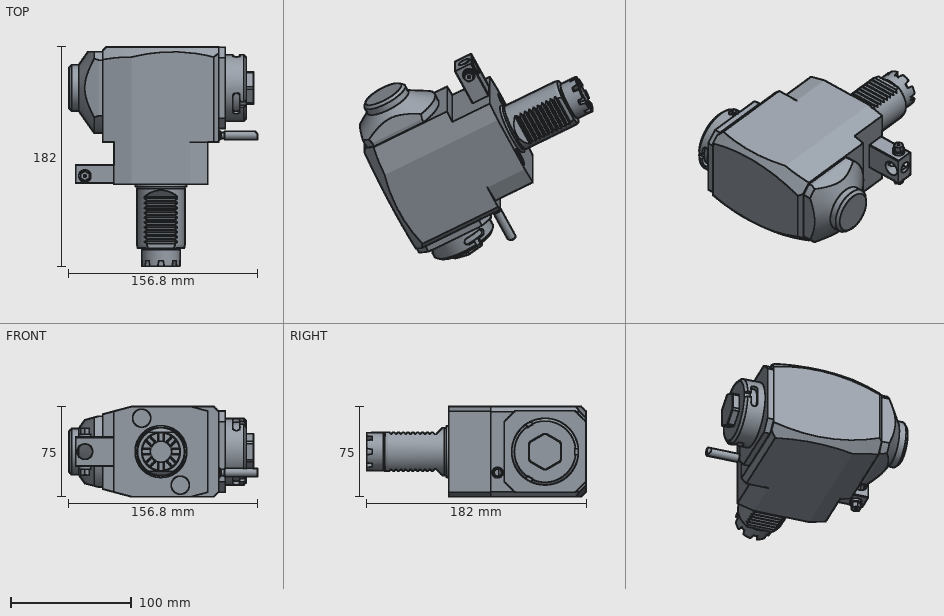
import math

import cadquery as cq


OVERALL_LENGTH = 156.83

HALF_HEIGHT = 37.5
HOUSING_DEPTH = 114.0
LEFT_X = -48.4
RIGHT_X = 48.0
STEP_Y = 35.0
NECK_HALF_WIDTH = 39.0
TAPER_START_X = 24.4
TAPER_SLOPE = math.tan(math.radians(15))
RIGHT_CHAMFER = 4.3
BACK_LEFT_CHAMFER = 3.0
CROWN_RADIUS = 190.0
CROWN_CENTER_X = 9.65
CROWN_CHAMFER = 4.05
PLUG_RADIUS = 7.5
PLUG_DEPTH = 1.0
PLUG_POSITIONS = ((-16.0, 27.8), (16.0, -27.8))

SPINDLE_Y = 80.0
BONNET_RADIUS = 37.5
BONNET_RIM_X = -55.4
BONNET_CONE_END_X = -68.2
BONNET_BACK_Y = 110.2
BONNET_HALF_HEIGHT = 29.5
BONNET_TAPER_X = -51.6
CAP_RADIUS = 19.3
CAP_END_X = -76.45
CAP_CHAMFER = 2.5

FLANGE_HALF = 33.75
FLANGE_CHAMFER = 8.75
FLANGE_END_X = 53.4
NUT_RADIUS = 27.7
NUT_END_X = 70.9
NUT_CHAMFER = 2.3
NUT_SLOT_X = 62.6
NUT_SLOT_WIDTH = 5.8
NUT_SLOT_DEPTH = 3.0
NUT_SLOT_HALF_ANGLE = 15.0
NUT_SLOT_ANGLES = (30, 150, 270)
NUT_CHANNEL_WIDTH = 5.0
HEX_FLATS = 27.0
HEX_TURN_RADIUS = 15.0
HEX_END_X = 77.0
HEX_CHAMFER = 0.5

PIN_Y = 40.6
PIN_Z = -17.4
PIN_RADIUS = 3.6
PIN_END_X = CAP_END_X + OVERALL_LENGTH
PIN_FLARE_RADIUS = 4.4
PIN_COLLAR_RADIUS = 3.1
PIN_NECK_RADIUS = 2.6
PIN_COLLAR_START_X = 49.2
PIN_NECK_START_X = 50.2
PIN_NECK_END_X = 52.3
PIN_BODY_START_X = 53.1
PIN_END_CHAMFER = 0.7
PIN_BEVEL = 2.6

SHANK_RADIUS = 20.0
SHANK_LENGTH = 52.8
SHANK_TIP_LENGTH = 2.7
SHANK_TIP_RADIUS = 19.4
COLLAR_RADIUS = 21.5
COLLAR_LENGTH = 2.0
RELIEF_END = 3.7
RELIEF_RADIUS = 19.8
SERRATION_TOP_Z = 16.2
SERRATION_DEPTH = 1.6
SERRATION_PITCH = 4.0
SERRATION_COUNT = 10
SERRATION_FIRST_Y = -11.6
SERRATION_RAMP_Y = -4.9

COUPLING_RADIUS = 16.0
COUPLING_START = 53.9
COUPLING_END = 68.0
COUPLING_NECK_RADIUS = 12.8
COUPLING_HUB_RADIUS = 8.8
COUPLING_SLOT_COUNT = 8
COUPLING_SLOT_DEPTH = 4.8
COUPLING_SLOT_FLOOR = 3.6
COUPLING_SLOT_MOUTH = 5.5
COUPLING_RIM_CHAMFER = 0.4

ARM_END_X = -70.8
ARM_FRONT_Y = 0.8
ARM_BACK_Y = 16.2
ARM_HALF_HEIGHT = 12.2
ARM_CHAMFER = 0.5
ARM_HOLE_X = -63.1
ARM_CROSS_HOLE_Y = 7.5
ARM_HOLE_RADIUS = 6.4
ARM_SIDE_HOLE_RADIUS = 4.8
ARM_SIDE_HOLE_END_X = -54.0
ARM_PILOT_RADIUS = 1.3
ARM_PILOT_DEPTH = 2.0
BOLT_Y = 7.0
BOLT_WASHER_RADIUS = 5.0
BOLT_WASHER_HEIGHT = 2.4
BOLT_HEAD_FLATS = 6.9
BOLT_HEAD_HEIGHT = 4.9
BOLT_SOCKET_RADIUS = 1.0
BOLT_SOCKET_DEPTH = 1.5


def taper_height(x):
    """Half height of the housing at a distance x from the shank plane, on its tapered flank."""
    return HALF_HEIGHT - (abs(x) - TAPER_START_X) * TAPER_SLOPE


def extrude_xz(points, y_start, y_end):
    """Prism with an XZ outline, running from y_start to y_end."""
    return (
        cq.Workplane("XZ", origin=(0, y_start, 0))
        .polyline(points)
        .close()
        .extrude(y_start - y_end)
    )


def mirrored_in_z(upper_points):
    """Close an upper XZ half outline with its mirror image below Z = 0."""
    return upper_points + [(x, -z) for x, z in reversed(upper_points)]


def rod_x(y, z, radius, x_start, x_end):
    """Cylinder along X."""
    return cq.Workplane("YZ", origin=(x_start, y, z)).circle(radius).extrude(x_end - x_start)


def revolve_along_x(points, y, z):
    """Body of revolution about the X line through (y, z), from (x, radius) points."""
    outline = [(points[0][0], 0)] + points + [(points[-1][0], 0)]
    return (
        cq.Workplane("XY", origin=(0, y, z))
        .polyline(outline)
        .close()
        .revolve(360, (0, 0, 0), (1, 0, 0))
    )


def revolve_along_shank(points):
    """Body of revolution about the shank axis, from (distance from housing, radius) points."""
    outline = [(0, -points[0][0])]
    outline += [(radius, -distance) for distance, radius in points]
    outline += [(0, -points[-1][0])]
    return cq.Workplane("XY").polyline(outline).close().revolve(360, (0, 0, 0), (0, 1, 0))


def crown(side):
    """Large inclined cylinder whose surface rounds the back edge; side is +1 top, -1 bottom."""
    depth = (CROWN_RADIUS + CROWN_CHAMFER / math.sqrt(2)) / math.sqrt(2)
    center = (CROWN_CENTER_X, HOUSING_DEPTH - depth, side * (HALF_HEIGHT - depth))
    plane = cq.Plane(origin=center, xDir=(1, 0, 0), normal=(0, 1, -side))
    return cq.Workplane(plane).circle(CROWN_RADIUS).extrude(2 * CROWN_RADIUS, both=True)


def make_housing():
    upper = extrude_xz(
        mirrored_in_z([
            (LEFT_X, taper_height(LEFT_X)),
            (-TAPER_START_X, HALF_HEIGHT),
            (RIGHT_X - RIGHT_CHAMFER, HALF_HEIGHT),
            (RIGHT_X, HALF_HEIGHT - RIGHT_CHAMFER),
        ]),
        STEP_Y,
        HOUSING_DEPTH,
    )
    upper = upper.edges("<X and >Y").chamfer(BACK_LEFT_CHAMFER)
    neck = extrude_xz(
        mirrored_in_z([
            (-NECK_HALF_WIDTH, taper_height(NECK_HALF_WIDTH)),
            (-TAPER_START_X, HALF_HEIGHT),
            (TAPER_START_X, HALF_HEIGHT),
            (NECK_HALF_WIDTH, taper_height(NECK_HALF_WIDTH)),
        ]),
        0,
        STEP_Y,
    )
    housing = upper.union(neck).intersect(crown(1)).intersect(crown(-1))
    plugs = (
        cq.Workplane("XZ")
        .pushPoints(PLUG_POSITIONS)
        .circle(PLUG_RADIUS)
        .extrude(-PLUG_DEPTH)
    )
    return housing.cut(plugs)


def make_bonnet():
    body = revolve_along_x(
        [
            (CAP_END_X, CAP_RADIUS - CAP_CHAMFER),
            (CAP_END_X + CAP_CHAMFER, CAP_RADIUS),
            (BONNET_CONE_END_X, CAP_RADIUS),
            (BONNET_RIM_X, BONNET_RADIUS),
            (LEFT_X, BONNET_RADIUS),
        ],
        SPINDLE_Y,
        0,
    )
    end_height = BONNET_HALF_HEIGHT - (BONNET_TAPER_X - CAP_END_X) * TAPER_SLOPE
    envelope = extrude_xz(
        mirrored_in_z([
            (CAP_END_X, end_height),
            (BONNET_TAPER_X, BONNET_HALF_HEIGHT),
            (LEFT_X, BONNET_HALF_HEIGHT),
        ]),
        SPINDLE_Y - BONNET_RADIUS,
        BONNET_BACK_Y,
    )
    return body.intersect(envelope)


def make_flange():
    return (
        cq.Workplane("YZ", origin=(RIGHT_X, SPINDLE_Y, 0))
        .rect(2 * FLANGE_HALF, 2 * FLANGE_HALF)
        .extrude(FLANGE_END_X - RIGHT_X)
        .edges("|X")
        .chamfer(FLANGE_CHAMFER)
    )


def nut_slot(angle):
    """Hook slot around the nut's rim, opened to the end face, turned from +Z towards -Y."""
    floor_radius = NUT_RADIUS - NUT_SLOT_DEPTH
    outer_radius = NUT_RADIUS + NUT_SLOT_DEPTH
    axis_start = (0, 0, 0)
    axis_end = (1, 0, 0)
    sector_y = outer_radius * math.sin(math.radians(NUT_SLOT_HALF_ANGLE))
    sector_z = outer_radius * math.cos(math.radians(NUT_SLOT_HALF_ANGLE))
    slot = (
        cq.Workplane("YZ", origin=(NUT_SLOT_X - NUT_SLOT_WIDTH / 2, 0, 0))
        .moveTo(0, 0)
        .lineTo(-sector_y, sector_z)
        .threePointArc((0, outer_radius), (sector_y, sector_z))
        .close()
        .extrude(NUT_SLOT_WIDTH)
    )
    round_end = (
        cq.Workplane("XY", origin=(NUT_SLOT_X, 0, 0))
        .circle(NUT_SLOT_WIDTH / 2)
        .extrude(outer_radius)
    )
    for end_angle in (-NUT_SLOT_HALF_ANGLE, NUT_SLOT_HALF_ANGLE):
        slot = slot.union(round_end.rotate(axis_start, axis_end, end_angle))
    slot = slot.cut(rod_x(0, 0, floor_radius, FLANGE_END_X, NUT_END_X))
    channel = (
        cq.Workplane("XY", origin=(NUT_SLOT_X, 0, floor_radius))
        .rect(2 * (NUT_END_X - NUT_SLOT_X), NUT_CHANNEL_WIDTH)
        .extrude(2 * NUT_SLOT_DEPTH)
        .intersect(rod_x(0, 0, 2 * NUT_RADIUS, NUT_SLOT_X, NUT_END_X))
    )
    return slot.union(channel).rotate(axis_start, axis_end, angle).translate((0, SPINDLE_Y, 0))


def make_nut():
    nut = revolve_along_x(
        [
            (FLANGE_END_X, NUT_RADIUS),
            (NUT_END_X - NUT_CHAMFER, NUT_RADIUS),
            (NUT_END_X, NUT_RADIUS - NUT_CHAMFER),
        ],
        SPINDLE_Y,
        0,
    )
    for angle in NUT_SLOT_ANGLES:
        nut = nut.cut(nut_slot(angle))
    return nut


def make_hexagon():
    corner_diameter = HEX_FLATS / math.cos(math.pi / 6)
    prism = (
        cq.Workplane("YZ", origin=(NUT_END_X, SPINDLE_Y, 0))
        .transformed(rotate=(0, 0, 90))
        .polygon(6, corner_diameter)
        .extrude(HEX_END_X - NUT_END_X)
    )
    turned = rod_x(SPINDLE_Y, 0, HEX_TURN_RADIUS, NUT_END_X, HEX_END_X)
    return prism.intersect(turned).faces(">X").chamfer(HEX_CHAMFER)


def make_pin():
    pin = revolve_along_x(
        [
            (RIGHT_X, PIN_FLARE_RADIUS),
            (PIN_COLLAR_START_X, PIN_COLLAR_RADIUS),
            (PIN_NECK_START_X, PIN_NECK_RADIUS),
            (PIN_NECK_END_X, PIN_NECK_RADIUS),
            (PIN_BODY_START_X, PIN_RADIUS),
            (PIN_END_X - PIN_END_CHAMFER, PIN_RADIUS),
            (PIN_END_X, PIN_RADIUS - PIN_END_CHAMFER),
        ],
        PIN_Y,
        PIN_Z,
    )
    edge_y = PIN_Y + PIN_RADIUS
    bevel = (
        cq.Workplane("XY", origin=(0, 0, PIN_Z))
        .polyline([
            (PIN_END_X - PIN_BEVEL, edge_y),
            (PIN_END_X, edge_y - PIN_BEVEL),
            (PIN_END_X, edge_y),
        ])
        .close()
        .extrude(PIN_RADIUS, both=True)
    )
    return pin.cut(bevel)


def serration_cut():
    """Material removed above the upper flat: run-out ramp, flat and V grooves."""
    root_z = SERRATION_TOP_Z - SERRATION_DEPTH
    profile = [
        (SERRATION_RAMP_Y, SHANK_RADIUS),
        (SERRATION_RAMP_Y - (SHANK_RADIUS - root_z), root_z),
    ]
    for index in range(SERRATION_COUNT):
        groove_y = SERRATION_FIRST_Y - index * SERRATION_PITCH
        if index > 0:
            profile.append((groove_y + SERRATION_DEPTH, SERRATION_TOP_Z))
        profile.append((groove_y, root_z))
        profile.append((groove_y - SERRATION_DEPTH, SERRATION_TOP_Z))
    profile.append((-SHANK_LENGTH, SERRATION_TOP_Z))
    profile.append((-SHANK_LENGTH, SHANK_RADIUS))
    return cq.Workplane("YZ").polyline(profile).close().extrude(SHANK_RADIUS, both=True)


def make_shank():
    shank = revolve_along_shank([
        (0, RELIEF_RADIUS),
        (RELIEF_END, RELIEF_RADIUS),
        (RELIEF_END, SHANK_RADIUS),
        (SHANK_LENGTH - SHANK_TIP_LENGTH, SHANK_RADIUS),
        (SHANK_LENGTH, SHANK_TIP_RADIUS),
    ])
    upper_cut = serration_cut()
    shank = shank.cut(upper_cut).cut(upper_cut.mirror("XY"))
    ring_radius = COLLAR_LENGTH / 2
    collar = (
        cq.Workplane("XY")
        .moveTo(0, 0)
        .lineTo(COLLAR_RADIUS - ring_radius, 0)
        .threePointArc((COLLAR_RADIUS, -ring_radius), (COLLAR_RADIUS - ring_radius, -COLLAR_LENGTH))
        .lineTo(0, -COLLAR_LENGTH)
        .close()
        .revolve(360, (0, 0, 0), (0, 1, 0))
    )
    return shank.union(collar)


def make_coupling():
    coupling = revolve_along_shank([
        (SHANK_LENGTH, COUPLING_NECK_RADIUS),
        (COUPLING_START, COUPLING_NECK_RADIUS),
        (COUPLING_START, COUPLING_RADIUS - COUPLING_RIM_CHAMFER),
        (COUPLING_START + COUPLING_RIM_CHAMFER, COUPLING_RADIUS),
        (COUPLING_END, COUPLING_RADIUS),
    ])
    floor_y = COUPLING_SLOT_DEPTH - COUPLING_END
    slot = (
        cq.Workplane("XY")
        .polyline([
            (-COUPLING_SLOT_FLOOR / 2, floor_y),
            (COUPLING_SLOT_FLOOR / 2, floor_y),
            (COUPLING_SLOT_MOUTH / 2, -COUPLING_END),
            (-COUPLING_SLOT_MOUTH / 2, -COUPLING_END),
        ])
        .close()
        .extrude(COUPLING_RADIUS)
    )
    for index in range(COUPLING_SLOT_COUNT):
        angle = index * 360 / COUPLING_SLOT_COUNT
        coupling = coupling.cut(slot.rotate((0, 0, 0), (0, 1, 0), angle))
    hub = revolve_along_shank([
        (COUPLING_START, COUPLING_HUB_RADIUS),
        (COUPLING_END, COUPLING_HUB_RADIUS),
    ])
    return coupling.union(hub)


def make_bolt():
    """Bolt head with washer standing on the side block's upper face."""
    base = cq.Workplane("XY", origin=(ARM_HOLE_X, BOLT_Y, ARM_HALF_HEIGHT))
    washer = base.circle(BOLT_WASHER_RADIUS).extrude(BOLT_WASHER_HEIGHT)
    head = (
        base.workplane(offset=BOLT_WASHER_HEIGHT)
        .transformed(rotate=(0, 0, 90))
        .polygon(6, BOLT_HEAD_FLATS / math.cos(math.pi / 6))
        .extrude(BOLT_HEAD_HEIGHT)
        .faces(">Z")
        .workplane(origin=(ARM_HOLE_X, BOLT_Y, 0))
        .hole(2 * BOLT_SOCKET_RADIUS, BOLT_SOCKET_DEPTH)
    )
    return washer.union(head)


def make_arm():
    arm = (
        cq.Workplane("XY")
        .box(
            -NECK_HALF_WIDTH - ARM_END_X,
            ARM_BACK_Y - ARM_FRONT_Y,
            2 * ARM_HALF_HEIGHT,
            centered=(False, False, True),
        )
        .translate((ARM_END_X, ARM_FRONT_Y, 0))
        .edges("|X")
        .chamfer(ARM_CHAMFER)
    )
    through_hole = (
        cq.Workplane("XZ")
        .center(ARM_HOLE_X, 0)
        .circle(ARM_HOLE_RADIUS)
        .extrude(-ARM_BACK_Y)
    )
    side_hole = rod_x(ARM_CROSS_HOLE_Y, 0, ARM_SIDE_HOLE_RADIUS, ARM_END_X, ARM_SIDE_HOLE_END_X)
    pilot_end_x = ARM_SIDE_HOLE_END_X + ARM_PILOT_DEPTH
    pilot = rod_x(ARM_CROSS_HOLE_Y, 0, ARM_PILOT_RADIUS, ARM_SIDE_HOLE_END_X, pilot_end_x)
    arm = arm.cut(through_hole).cut(side_hole).cut(pilot)
    bolt = make_bolt()
    return arm.union(bolt).union(bolt.mirror("XY"))


result = make_housing()
for feature in (
    make_bonnet(),
    make_flange(),
    make_nut(),
    make_hexagon(),
    make_pin(),
    make_shank(),
    make_coupling(),
    make_arm(),
):
    result = result.union(feature)